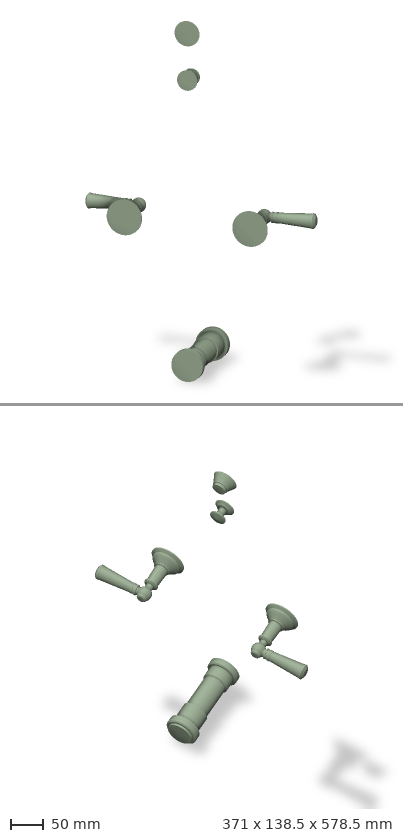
import cadquery as cq


KNOB_Z = 532.5
PULL_Z = 457.5
HANDLE_Z = 228.5
HANDLE_SPACING = 203.0

SPRAY_LENGTH = 138.5
SPRAY_GRIP_RADIUS = 18.5
SPRAY_SLEEVE_RADIUS = 21.0
FRONT_FLANGE_RADIUS = 25.5
REAR_FLANGE_RADIUS = 26.0
FRONT_FLANGE_END = 11.5
FRONT_SLEEVE_END = 32.0
REAR_SLEEVE_START = 91.0
REAR_FLANGE_START = 122.0
REAR_FLANGE_END = 135.0
SPRAY_CHAMFER = 2.0

KNOB_BASE_RADIUS = 20.0
KNOB_CONE_TOP_RADIUS = 13.0
KNOB_COLLAR_RADIUS = 11.0
KNOB_CONE_END = 13.5
KNOB_RIM_END = 15.0
KNOB_LENGTH = 19.5

PULL_BASE_RADIUS = 16.0
PULL_BASE_THICKNESS = 2.0
PULL_SHOULDER_RADIUS = 14.0
PULL_SHOULDER_END = 3.5
PULL_BASE_TOP_RADIUS = 11.0
PULL_BASE_END = 6.5
PULL_STEM_RADIUS = 6.5
PULL_STEM_END = 14.5
PULL_FLARE_RADIUS = 11.0
PULL_RIM_RADIUS = 13.5
PULL_RIM_START = 21.0
PULL_RIM_END = 23.0
PULL_DOME_RADIUS = 10.5
PULL_DOME_START = 24.5
PULL_LENGTH = 26.5

ROSE_RADIUS = 28.5
ROSE_EDGE_THICKNESS = 2.0
ROSE_STEP_RADIUS = 24.0
ROSE_STEP_START = 5.0
ROSE_STEP_END = 7.5
ROSE_BEVEL_RADIUS = 22.5
ROSE_BEVEL_END = 9.0
ROSE_SHOULDER_RADIUS = 21.0
ROSE_SHOULDER_END = 11.0
ROSE_TOP_RADIUS = 13.5
ROSE_TOP_START = 18.0
ROSE_TOP_END = 19.5
POST_FOOT_RADIUS = 11.0
POST_FOOT_START = 20.0
POST_RADIUS = 10.0
COLLAR_RADIUS = 11.5
COLLAR_START = 50.5
COLLAR_END = 52.5
COLLAR_TOP_RADIUS = 8.0
COLLAR_TOP = 55.0
NECK_RADIUS = 6.5

BALL_Y = 72.0
BALL_RADIUS = 11.5
CAP_RADIUS = 8.5
CAP_START = BALL_Y + 7.5
CAP_RIM_RADIUS = 8.0
CAP_RIM_END = BALL_Y + 10.0
CAP_TOP_RADIUS = 6.5
CAP_END = BALL_Y + 11.5
LEVER_LENGTH = 84.0
LEVER_NECK_RADIUS = 7.0
LEVER_COLLAR_RADIUS = 8.5
LEVER_COLLAR_START = 13.0
LEVER_COLLAR_END = 15.0
LEVER_WAIST_RADIUS = 8.0
LEVER_BEAD_START = 19.0
LEVER_BEAD_END = 22.5
LEVER_TAPER_END_RADIUS = 11.5
LEVER_TIP_RADIUS = 12.0
LEVER_TIP_START = LEVER_LENGTH - 8.0
LEVER_TIP_RIM_START = LEVER_LENGTH - 6.0
LEVER_TIP_RIM_END = LEVER_LENGTH - 3.5
LEVER_END_RIM_RADIUS = 8.0
LEVER_END_RIM = LEVER_LENGTH - 0.5
LEVER_END_RADIUS = 7.0


def turned(outline):
    """Turn (radius, distance) points about Y; the outline starts and ends on the axis."""
    half_section = [(distance, radius) for radius, distance in outline]
    return cq.Workplane("YZ").polyline(half_section).close().revolve(360, (0, 0), (1, 0))


def make_spray():
    """Grip between two flanged sleeves."""
    return turned([
        (0, 0),
        (FRONT_FLANGE_RADIUS, 0),
        (FRONT_FLANGE_RADIUS, FRONT_FLANGE_END - SPRAY_CHAMFER),
        (FRONT_FLANGE_RADIUS - SPRAY_CHAMFER, FRONT_FLANGE_END),
        (SPRAY_SLEEVE_RADIUS, FRONT_FLANGE_END),
        (SPRAY_SLEEVE_RADIUS, FRONT_SLEEVE_END - SPRAY_CHAMFER),
        (SPRAY_SLEEVE_RADIUS - SPRAY_CHAMFER, FRONT_SLEEVE_END),
        (SPRAY_GRIP_RADIUS, FRONT_SLEEVE_END),
        (SPRAY_GRIP_RADIUS, REAR_SLEEVE_START),
        (SPRAY_SLEEVE_RADIUS, REAR_SLEEVE_START),
        (SPRAY_SLEEVE_RADIUS, REAR_FLANGE_START),
        (REAR_FLANGE_RADIUS, REAR_FLANGE_START),
        (REAR_FLANGE_RADIUS, REAR_FLANGE_END - SPRAY_CHAMFER),
        (REAR_FLANGE_RADIUS - SPRAY_CHAMFER, REAR_FLANGE_END),
        (SPRAY_SLEEVE_RADIUS, REAR_FLANGE_END),
        (SPRAY_SLEEVE_RADIUS, SPRAY_LENGTH),
        (0, SPRAY_LENGTH),
    ])


def make_top_knob():
    """Cone with a thin rim and a narrower collar."""
    knob = turned([
        (0, 0),
        (KNOB_BASE_RADIUS, 0),
        (KNOB_CONE_TOP_RADIUS, KNOB_CONE_END),
        (KNOB_CONE_TOP_RADIUS, KNOB_RIM_END),
        (KNOB_COLLAR_RADIUS, KNOB_RIM_END),
        (KNOB_COLLAR_RADIUS, KNOB_LENGTH),
        (0, KNOB_LENGTH),
    ])
    return knob.translate((0, 0, KNOB_Z))


def make_pull_knob():
    """Stepped base, thin stem and flared, domed head."""
    knob = turned([
        (0, 0),
        (PULL_BASE_RADIUS, 0),
        (PULL_BASE_RADIUS, PULL_BASE_THICKNESS),
        (PULL_SHOULDER_RADIUS, PULL_SHOULDER_END),
        (PULL_BASE_TOP_RADIUS, PULL_BASE_END),
        (PULL_STEM_RADIUS, PULL_BASE_END),
        (PULL_STEM_RADIUS, PULL_STEM_END),
        (PULL_FLARE_RADIUS, PULL_RIM_START),
        (PULL_RIM_RADIUS, PULL_RIM_START),
        (PULL_RIM_RADIUS, PULL_RIM_END),
        (PULL_DOME_RADIUS, PULL_DOME_START),
        (0, PULL_LENGTH),
    ])
    return knob.translate((0, 0, PULL_Z))


def make_post():
    """Stepped rose, tapered post, collar, neck and the cap on top of the ball."""
    return turned([
        (0, 0),
        (ROSE_RADIUS, 0),
        (ROSE_RADIUS, ROSE_EDGE_THICKNESS),
        (ROSE_STEP_RADIUS, ROSE_STEP_START),
        (ROSE_STEP_RADIUS, ROSE_STEP_END),
        (ROSE_BEVEL_RADIUS, ROSE_BEVEL_END),
        (ROSE_SHOULDER_RADIUS, ROSE_SHOULDER_END),
        (ROSE_TOP_RADIUS, ROSE_TOP_START),
        (ROSE_TOP_RADIUS, ROSE_TOP_END),
        (POST_FOOT_RADIUS, POST_FOOT_START),
        (POST_RADIUS, COLLAR_START),
        (COLLAR_RADIUS, COLLAR_START),
        (COLLAR_RADIUS, COLLAR_END),
        (COLLAR_TOP_RADIUS, COLLAR_TOP),
        (NECK_RADIUS, COLLAR_TOP),
        (NECK_RADIUS, CAP_START),
        (CAP_RADIUS, CAP_START),
        (CAP_RIM_RADIUS, CAP_RIM_END),
        (CAP_TOP_RADIUS, CAP_END),
        (0, CAP_END),
    ])


def make_lever():
    """Lever along +X, turned about the line through the ball centre."""
    lever = turned([
        (0, 0),
        (LEVER_NECK_RADIUS, 0),
        (LEVER_NECK_RADIUS, LEVER_COLLAR_START),
        (LEVER_COLLAR_RADIUS, LEVER_COLLAR_START),
        (LEVER_COLLAR_RADIUS, LEVER_COLLAR_END),
        (LEVER_WAIST_RADIUS, LEVER_COLLAR_END),
        (LEVER_WAIST_RADIUS, LEVER_BEAD_START),
        (LEVER_COLLAR_RADIUS, LEVER_BEAD_START),
        (LEVER_COLLAR_RADIUS, LEVER_BEAD_END),
        (LEVER_WAIST_RADIUS, LEVER_BEAD_END),
        (LEVER_TAPER_END_RADIUS, LEVER_TIP_START),
        (LEVER_TIP_RADIUS, LEVER_TIP_RIM_START),
        (LEVER_TIP_RADIUS, LEVER_TIP_RIM_END),
        (LEVER_END_RIM_RADIUS, LEVER_END_RIM),
        (LEVER_END_RADIUS, LEVER_LENGTH),
        (0, LEVER_LENGTH),
    ])
    return lever.rotate((0, 0, 0), (0, 0, 1), -90).translate((0, BALL_Y, 0))


def make_handle(side):
    """One handle: side is +1 for the lever towards +X, -1 towards -X."""
    ball = cq.Workplane("XY").sphere(BALL_RADIUS).translate((0, BALL_Y, 0))
    handle = make_post().union(ball).union(make_lever())
    if side < 0:
        handle = handle.mirror("YZ")
    return handle.translate((side * HANDLE_SPACING / 2, 0, HANDLE_Z))


spray = make_spray()
top_knob = make_top_knob()
pull_knob = make_pull_knob()
handles = [make_handle(side) for side in (-1, 1)]

result = cq.Compound.makeCompound(
    [spray.val(), top_knob.val(), pull_knob.val()] + [handle.val() for handle in handles]
)